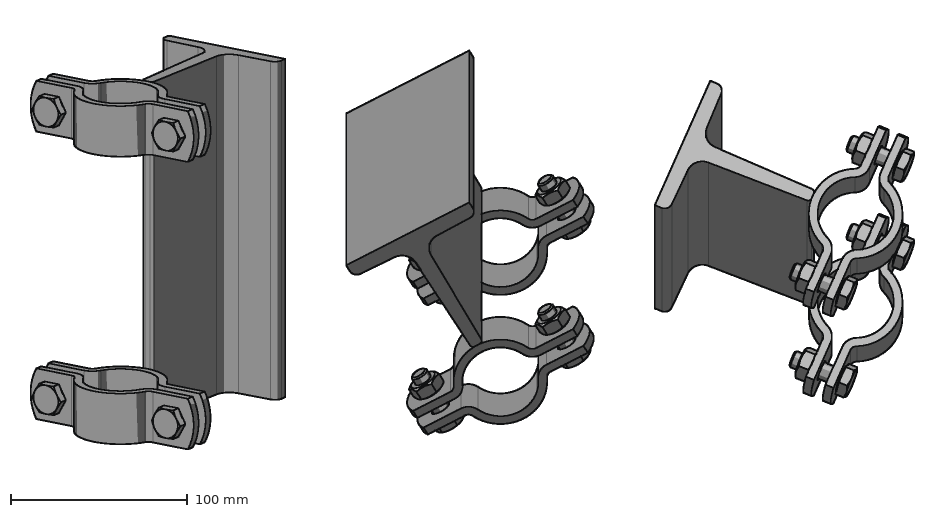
import cadquery as cq
import math

LENGTH = 200.0
TEE_WIDTH = 80.0
TEE_DEPTH = 80.0
TEE_THICKNESS = 9.0
TEE_SLOPE = 0.021
TEE_ROOT_RADIUS = 9.0
FLANGE_EDGE_RADIUS = 4.5
WEB_TIP_RADIUS = 2.0

STRAP_THICKNESS = 5.0
STRAP_WIDTH = 30.0
BORE_RADIUS = 21.5
OUTER_RADIUS = BORE_RADIUS + STRAP_THICKNESS
CLAMP_GAP = 7.0
BEND_RADIUS = 4.0
CLAMP_LENGTH = 112.0
EAR_END_RADIUS = 30.0
BOLT_SPACING = 82.0
BOLT_HOLE_DIAMETER = 11.5

BOLT_DIAMETER = 10.0
BOLT_TIP_DIAMETER = 8.16
BOLT_LENGTH = 30.0
HEX_SIDES = 6
HEX_ACROSS_FLATS = 17.0
HEAD_HEIGHT = 6.4
WASHER_FACE_HEIGHT = 0.6
SEAT_DIAMETER = 15.4
NUT_HEIGHT = 8.0
HEX_CHAMFER_ANGLE = math.radians(30)

EAR_INNER = CLAMP_GAP / 2
EAR_OUTER = EAR_INNER + STRAP_THICKNESS
HEX_ACROSS_CORNERS = HEX_ACROSS_FLATS / math.cos(math.pi / HEX_SIDES)
WEB_TIP_Y = OUTER_RADIUS
FLANGE_BACK_Y = WEB_TIP_Y + TEE_DEPTH


def round_corner_pair(body, x, y, radius):
    """Round the two upright tee edges at (x, y) and (-x, y)."""
    for side in (-1, 1):
        corner = cq.selectors.NearestToPointSelector((side * x, y, LENGTH / 2))
        body = body.edges("|Z").edges(corner).fillet(radius)
    return body


def make_tee():
    """Rolled tee with sloped flange faces and a tapered web."""
    half_width = TEE_WIDTH / 2
    edge_y = FLANGE_BACK_Y - TEE_THICKNESS + TEE_SLOPE * TEE_WIDTH / 4
    tip_half = TEE_THICKNESS / 2 - TEE_SLOPE * TEE_DEPTH / 2

    edge_rise = edge_y - WEB_TIP_Y
    root_x = (tip_half + TEE_SLOPE * (edge_rise - TEE_SLOPE * half_width)) / (1 - TEE_SLOPE**2)
    root_y = edge_y - TEE_SLOPE * (half_width - root_x)

    tee = (
        cq.Workplane("XY")
        .polyline([
            (-half_width, FLANGE_BACK_Y),
            (-half_width, edge_y),
            (-root_x, root_y),
            (-tip_half, WEB_TIP_Y),
            (tip_half, WEB_TIP_Y),
            (root_x, root_y),
            (half_width, edge_y),
            (half_width, FLANGE_BACK_Y),
        ])
        .close()
        .extrude(LENGTH)
    )

    tee = round_corner_pair(tee, half_width, edge_y, FLANGE_EDGE_RADIUS)
    tee = round_corner_pair(tee, root_x, root_y, TEE_ROOT_RADIUS)
    return round_corner_pair(tee, tip_half, WEB_TIP_Y, WEB_TIP_RADIUS)


def make_strap():
    """Strap on the +Y side, from Z = 0 up: half ring, two bends and two drilled ears."""
    bend_y = EAR_OUTER + BEND_RADIUS
    bend_distance = OUTER_RADIUS + BEND_RADIUS
    bend_x = math.sqrt(bend_distance**2 - bend_y**2)
    half_length = CLAMP_LENGTH / 2
    ring_angle = math.atan2(bend_y, bend_x)
    bend_middle = (ring_angle - math.pi - math.pi / 2) / 2

    def bend_point(side, radius):
        return (
            side * (bend_x + radius * math.cos(bend_middle)),
            bend_y + radius * math.sin(bend_middle),
        )

    def ring_point(side, radius):
        return (side * radius * math.cos(ring_angle), radius * math.sin(ring_angle))

    inner_bend = BEND_RADIUS + STRAP_THICKNESS
    strap = (
        cq.Workplane("XY")
        .moveTo(-half_length, EAR_OUTER)
        .lineTo(-bend_x, EAR_OUTER)
        .threePointArc(bend_point(-1, BEND_RADIUS), ring_point(-1, OUTER_RADIUS))
        .threePointArc((0, OUTER_RADIUS), ring_point(1, OUTER_RADIUS))
        .threePointArc(bend_point(1, BEND_RADIUS), (bend_x, EAR_OUTER))
        .lineTo(half_length, EAR_OUTER)
        .lineTo(half_length, EAR_INNER)
        .lineTo(bend_x, EAR_INNER)
        .threePointArc(bend_point(1, inner_bend), ring_point(1, BORE_RADIUS))
        .threePointArc((0, BORE_RADIUS), ring_point(-1, BORE_RADIUS))
        .threePointArc(bend_point(-1, inner_bend), (-bend_x, EAR_INNER))
        .lineTo(-half_length, EAR_INNER)
        .close()
        .extrude(STRAP_WIDTH)
    )

    half_strap = STRAP_WIDTH / 2
    end_bulge = EAR_END_RADIUS - math.sqrt(EAR_END_RADIUS**2 - half_strap**2)
    corner_x = half_length - end_bulge
    rounded_ends = (
        cq.Workplane("XZ")
        .moveTo(-corner_x, 0)
        .lineTo(corner_x, 0)
        .threePointArc((half_length, half_strap), (corner_x, STRAP_WIDTH))
        .lineTo(-corner_x, STRAP_WIDTH)
        .threePointArc((-half_length, half_strap), (-corner_x, 0))
        .close()
        .extrude(-OUTER_RADIUS)
    )
    holes = (
        cq.Workplane("XZ")
        .pushPoints([(side * BOLT_SPACING / 2, half_strap) for side in (-1, 1)])
        .circle(BOLT_HOLE_DIAMETER / 2)
        .extrude(-OUTER_RADIUS)
    )
    return strap.intersect(rounded_ends).cut(holes)


def make_hex(height, end_diameter, both_ends):
    """Hexagon standing on Z = 0, turned conical down to end_diameter at the top, or at both ends."""
    corner_radius = HEX_ACROSS_CORNERS / 2
    inset = corner_radius - end_diameter / 2
    drop = inset * math.tan(HEX_CHAMFER_ANGLE)
    blank = cq.Workplane("XY").polygon(HEX_SIDES, HEX_ACROSS_CORNERS).extrude(height)
    ends = "|Z" if both_ends else ">Z"
    turned = cq.Workplane("XY").circle(corner_radius).extrude(height).faces(ends).chamfer(drop, inset)
    return blank.intersect(turned)


def make_fastener():
    """Bolt along Y with its head on the -Y strap and its nut on the +Y strap."""
    tip_inset = (BOLT_DIAMETER - BOLT_TIP_DIAMETER) / 2
    shank = cq.Workplane("XY").circle(BOLT_DIAMETER / 2).extrude(BOLT_LENGTH)
    shank = shank.faces(">Z").chamfer(tip_inset)
    washer_face = cq.Workplane("XY").circle(SEAT_DIAMETER / 2).extrude(-WASHER_FACE_HEIGHT)
    head = make_hex(HEAD_HEIGHT - WASHER_FACE_HEIGHT, HEX_ACROSS_FLATS, False)
    head = head.rotate((0, 0, 0), (1, 0, 0), 180).translate((0, 0, -WASHER_FACE_HEIGHT))
    nut = make_hex(NUT_HEIGHT, SEAT_DIAMETER, True).translate((0, 0, 2 * EAR_OUTER))
    fastener = shank.union(washer_face).union(head).union(nut)
    return fastener.rotate((0, 0, 0), (1, 0, 0), -90).translate((0, -EAR_OUTER, 0))


def make_clamp(base_z):
    """Two straps joined by two bolts into one body, with its lower face at base_z."""
    strap = make_strap()
    clamp = strap.union(strap.mirror("XZ"))
    fastener = make_fastener()
    for side in (-1, 1):
        clamp = clamp.union(fastener.translate((side * BOLT_SPACING / 2, 0, STRAP_WIDTH / 2)))
    return clamp.translate((0, 0, base_z))


tee = make_tee()
clamps = [make_clamp(base_z) for base_z in (0, LENGTH - STRAP_WIDTH)]

result = cq.Compound.makeCompound([tee.solids().val(), *[clamp.solids().val() for clamp in clamps]])